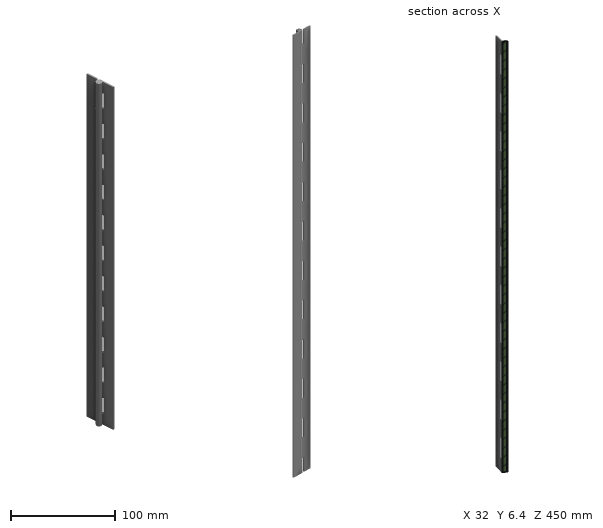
import cadquery as cq

length = 450.0
width = 32.0
leaf_thickness = 1.5

knuckle_count = 23
end_knuckle_share = 0.75
inner_knuckle_length = length / (knuckle_count - 2 + 2 * end_knuckle_share)
end_knuckle_length = end_knuckle_share * inner_knuckle_length
knuckle_radius = 3.2

knuckle_clearance = 0.85

pin_radius = knuckle_radius - leaf_thickness

hinge_bottom = -length / 2
hinge_top = length / 2
first_seam = hinge_bottom + end_knuckle_length
seams = [first_seam + i * inner_knuckle_length for i in range(knuckle_count - 1)]
knuckle_ends = [hinge_bottom, *seams, hinge_top]


def plate(x_start, x_end, z_start, z_end):
    """Flat leaf material whose back face is tangent to the back of the knuckles."""
    blank = cq.Workplane("XY").box(
        x_end - x_start, leaf_thickness, z_end - z_start, centered=False
    )
    return blank.translate((x_start, knuckle_radius - leaf_thickness, z_start))


def cylinder(radius, z_start, z_end):
    """Round bar on the pin axis."""
    return cq.Workplane("XY").workplane(offset=z_start).circle(radius).extrude(z_end - z_start)


def leaf_with_knuckles(first_knuckle):
    """Leaf on the +X side with every second knuckle, starting at first_knuckle from the bottom."""
    notched_edge = knuckle_radius + knuckle_clearance
    outer_edge = width / 2
    leaf = plate(notched_edge, outer_edge, hinge_bottom, hinge_top)
    for number in range(first_knuckle, knuckle_count, 2):
        z_start = knuckle_ends[number]
        z_end = knuckle_ends[number + 1]
        leaf = leaf.union(plate(0, outer_edge, z_start, z_end))
        leaf = leaf.union(cylinder(knuckle_radius, z_start, z_end))
    return leaf.cut(cylinder(pin_radius, hinge_bottom, hinge_top))


right_leaf = leaf_with_knuckles(first_knuckle=0)

left_leaf = leaf_with_knuckles(first_knuckle=1).mirror("YZ")

pin = cylinder(pin_radius, hinge_bottom, hinge_top)

result = cq.Compound.makeCompound([right_leaf.solids().val(), left_leaf.solids().val(), pin.val()])